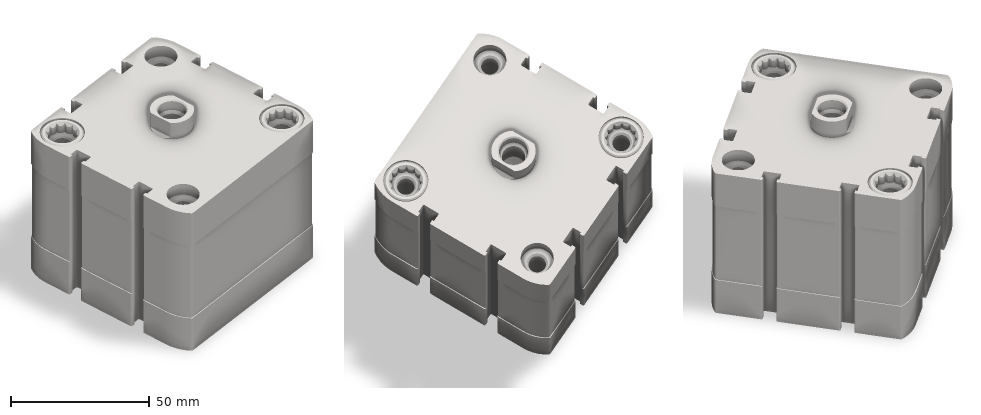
import cadquery as cq
import math

HALF_SIDE = 37.75
HEIGHT = 64.0
CAP_HEIGHT = 15.1
BARREL_INSET = 0.3
CORNER_ARC_RADIUS = 16.0
CORNER_EDGE_RADIUS = 1.05

SLOT_OFFSET = 14.5
MOUTH_WIDTH = 5.2
SLOT_WIDTH = 6.7
SLOT_DEPTH = 5.1
LIP_THICKNESS = 1.65
MOUTH_ROUNDING = 0.5
FLOOR_ROUNDING = 0.4
SLOTTED_SIDE_ANGLES = [0, -90, 180]

HOLE_OFFSET = 28.2
HOLE_DIAMETER = 6.35
HOLE_CHAMFER = 0.75
COUNTERBORE_DIAMETER = 12.0
COUNTERBORE_DEPTH = 5.0
COUNTERBORE_CORNERS = [(-HOLE_OFFSET, HOLE_OFFSET), (HOLE_OFFSET, -HOLE_OFFSET)]

SCREW_CORNERS = [(-HOLE_OFFSET, -HOLE_OFFSET), (HOLE_OFFSET, HOLE_OFFSET)]
GROOVE_DIAMETER = 16.4
GROOVE_DEPTH = 1.0
HEAD_DIAMETER = 15.5
HEAD_CHAMFER = 0.5

SOCKET_POINT_DIAMETER = 12.0
SOCKET_BORE_DIAMETER = 10.5
SOCKET_MOUTH_DIAMETER = 12.5
SOCKET_MOUTH_DEPTH = 1.35
SOCKET_DEPTH = 4.5
SOCKET_SQUARE_ANGLES = [15, 45, 75]

ROD_DIAMETER = 16.0
ROD_PROJECTION = 7.5
ROD_BOTTOM = HEIGHT - CAP_HEIGHT
ROD_TOP = HEIGHT + ROD_PROJECTION
FLATS_WIDTH = 13.0
FLATS_BOTTOM = HEIGHT + 0.8
FLATS_FOOT_ANGLE = 35

ROD_MOUTH_DIAMETER = 11.5
ROD_THREAD_DIAMETER = 10.5
ROD_THREAD_DEPTH = 4.5
ROD_DRILL_DIAMETER = 8.5
ROD_DRILL_DEPTH = 15.1
DRILL_TIP_ANGLE = 118


def revolved(points):
    """Solid of revolution about Z from an outline of (radius, height) points."""
    return cq.Workplane("XZ").polyline(points).close().revolve(360, (0, 0), (0, 1))


def square_block(inset, height):
    """Square block whose front and back faces bend towards the sides in large arcs."""
    half = HALF_SIDE - inset
    radius = CORNER_ARC_RADIUS
    arc_centre_y = half - radius
    arc_angle = math.asin((half - HOLE_OFFSET) / radius)
    middle_x = HOLE_OFFSET + radius * math.sin(arc_angle / 2)
    middle_y = arc_centre_y + radius * math.cos(arc_angle / 2)
    edge_y = arc_centre_y + radius * math.cos(arc_angle)
    outline = (
        cq.Workplane("XY")
        .moveTo(-HOLE_OFFSET, -half)
        .lineTo(HOLE_OFFSET, -half)
        .threePointArc((middle_x, -middle_y), (half, -edge_y))
        .lineTo(half, edge_y)
        .threePointArc((middle_x, middle_y), (HOLE_OFFSET, half))
        .lineTo(-HOLE_OFFSET, half)
        .threePointArc((-middle_x, middle_y), (-half, edge_y))
        .lineTo(-half, -edge_y)
        .threePointArc((-middle_x, -middle_y), (-HOLE_OFFSET, -half))
        .close()
    )
    block = outline.extrude(height)
    for side in (">X", "<X"):
        block = block.faces(side).edges("|Z").fillet(CORNER_EDGE_RADIUS)
    return block


def slot_cutter(inset, height):
    """Slot in the front side at X = 0, with its mouth rounded out to a face set in by `inset`."""
    face_y = -(HALF_SIDE - inset)
    lip_y = -(HALF_SIDE - LIP_THICKNESS)
    floor_y = -(HALF_SIDE - SLOT_DEPTH)
    half_mouth = MOUTH_WIDTH / 2
    flare = half_mouth + MOUTH_ROUNDING
    arc_step = MOUTH_ROUNDING * (1 - math.sqrt(0.5))
    mouth = (
        cq.Workplane("XY")
        .moveTo(-flare, face_y)
        .lineTo(flare, face_y)
        .threePointArc((half_mouth + arc_step, face_y + arc_step), (half_mouth, face_y + MOUTH_ROUNDING))
        .lineTo(half_mouth, lip_y)
        .lineTo(-half_mouth, lip_y)
        .lineTo(-half_mouth, face_y + MOUTH_ROUNDING)
        .threePointArc((-half_mouth - arc_step, face_y + arc_step), (-flare, face_y))
        .close()
        .extrude(height)
    )
    channel = (
        cq.Workplane("XY")
        .moveTo(0, (lip_y + floor_y) / 2)
        .rect(SLOT_WIDTH, floor_y - lip_y)
        .extrude(height)
        .faces(">Y")
        .edges("|Z")
        .fillet(FLOOR_ROUNDING)
    )
    return mouth.union(channel)


def housing_section(inset, bottom, height):
    """One length of the housing, with its sides set in by `inset` and all slots cut through."""
    section = square_block(inset, height)
    cutter = slot_cutter(inset, height)
    for angle in SLOTTED_SIDE_ANGLES:
        for offset in (-SLOT_OFFSET, SLOT_OFFSET):
            placed = cutter.translate((offset, 0, 0)).rotate((0, 0, 0), (0, 0, 1), angle)
            section = section.cut(placed)
    return section.translate((0, 0, bottom))


def through_hole(floor_z):
    """Cutter for a hole from the bottom up to `floor_z`, with a chamfered upper rim."""
    radius = HOLE_DIAMETER / 2
    return revolved([
        (0, 0),
        (radius, 0),
        (radius, floor_z - HOLE_CHAMFER),
        (radius + HOLE_CHAMFER, floor_z),
        (0, floor_z),
    ])


def counterbored_hole():
    """Cutter for a plain mounting hole."""
    floor_z = HEIGHT - COUNTERBORE_DEPTH
    counterbore = (
        cq.Workplane("XY")
        .workplane(offset=floor_z)
        .circle(COUNTERBORE_DIAMETER / 2)
        .extrude(COUNTERBORE_DEPTH)
    )
    return counterbore.union(through_hole(floor_z))


def head_groove():
    """Cutter for the ring groove and the chamfered rim of the screw head inside it."""
    outer = GROOVE_DIAMETER / 2
    head = HEAD_DIAMETER / 2
    return revolved([
        (outer, HEIGHT),
        (outer, HEIGHT - GROOVE_DEPTH),
        (head, HEIGHT - GROOVE_DEPTH),
        (head, HEIGHT - HEAD_CHAMFER),
        (head - HEAD_CHAMFER, HEIGHT),
    ])


def socket():
    """Cutter for the twelve-pointed socket with its conical mouth."""
    floor_z = HEIGHT - SOCKET_DEPTH
    bore_radius = SOCKET_BORE_DIAMETER / 2
    bore = revolved([
        (0, floor_z),
        (bore_radius, floor_z),
        (bore_radius, HEIGHT - SOCKET_MOUTH_DEPTH),
        (SOCKET_MOUTH_DIAMETER / 2, HEIGHT),
        (0, HEIGHT),
    ])
    square_side = SOCKET_POINT_DIAMETER / math.sqrt(2)
    square = cq.Workplane("XY").workplane(offset=floor_z).rect(square_side, square_side).extrude(SOCKET_DEPTH)
    for angle in SOCKET_SQUARE_ANGLES:
        bore = bore.union(square.rotate((0, 0, 0), (0, 0, 1), angle))
    return bore


def screw_hole():
    """Cutter for everything around and inside one screw head."""
    return socket().union(through_hole(HEIGHT - SOCKET_DEPTH))


def rod_cylinder(top):
    """Plain cylinder of the rod's diameter, from the rod's lower end up to `top`."""
    return cq.Workplane("XY").workplane(offset=ROD_BOTTOM).circle(ROD_DIAMETER / 2).extrude(top - ROD_BOTTOM)


def make_housing():
    """Housing with the slots, corner holes and the blind hole for the rod."""
    barrel_height = HEIGHT - 2 * CAP_HEIGHT
    housing = (
        housing_section(0, 0, CAP_HEIGHT)
        .union(housing_section(BARREL_INSET, CAP_HEIGHT, barrel_height))
        .union(housing_section(0, HEIGHT - CAP_HEIGHT, CAP_HEIGHT))
    )
    for x, y in COUNTERBORE_CORNERS:
        housing = housing.cut(counterbored_hole().translate((x, y, 0)))
    for x, y in SCREW_CORNERS:
        housing = housing.cut(head_groove().translate((x, y, 0)))
        housing = housing.cut(screw_hole().translate((x, y, 0)))
    return housing.cut(rod_cylinder(HEIGHT))


def flat_cutter():
    """Cutter for the flat on the +Y side of the rod, sloping outwards at its foot."""
    inner = FLATS_WIDTH / 2
    outer = ROD_DIAMETER / 2
    foot_drop = (outer - inner) * math.tan(math.radians(FLATS_FOOT_ANGLE))
    return (
        cq.Workplane("YZ")
        .polyline([
            (inner, ROD_TOP),
            (inner, FLATS_BOTTOM),
            (outer, FLATS_BOTTOM - foot_drop),
            (outer, ROD_TOP),
        ])
        .close()
        .extrude(outer, both=True)
    )


def rod_end_hole():
    """Cutter for the hole in the rod end, ending in a drill tip."""
    mouth = ROD_MOUTH_DIAMETER / 2
    thread = ROD_THREAD_DIAMETER / 2
    drill = ROD_DRILL_DIAMETER / 2
    tip_depth = drill / math.tan(math.radians(DRILL_TIP_ANGLE / 2))
    thread_bottom = ROD_TOP - ROD_THREAD_DEPTH
    drill_bottom = ROD_TOP - ROD_DRILL_DEPTH
    return revolved([
        (0, ROD_TOP),
        (mouth, ROD_TOP),
        (thread, ROD_TOP - (mouth - thread)),
        (thread, thread_bottom),
        (drill, thread_bottom - (thread - drill)),
        (drill, drill_bottom),
        (0, drill_bottom - tip_depth),
    ])


def make_rod():
    """Piston rod with two wrench flats and a hole in its end."""
    rod = rod_cylinder(ROD_TOP)
    for angle in (0, 180):
        rod = rod.cut(flat_cutter().rotate((0, 0, 0), (0, 0, 1), angle))
    return rod.cut(rod_end_hole())


housing = make_housing()
rod = make_rod()

result = cq.Compound.makeCompound([housing.val(), rod.val()])